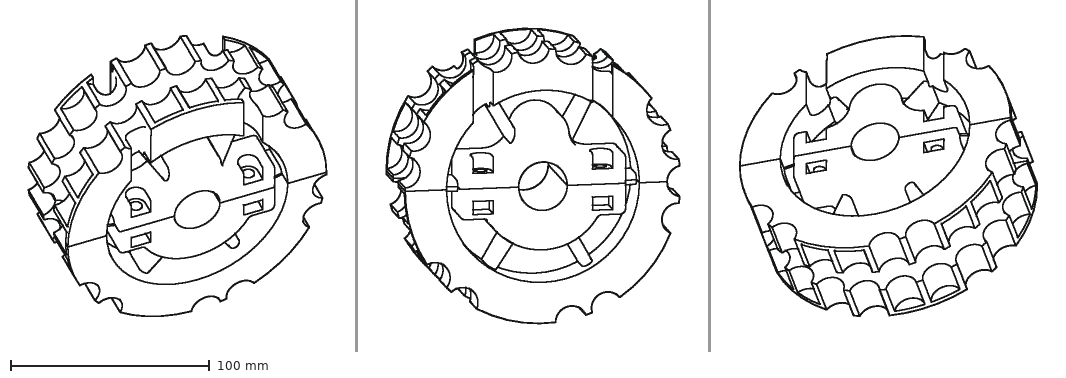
import cadquery as cq
import math


wheel_diameter = 141.0
wheel_radius = wheel_diameter / 2
wheel_width = 53.0
half_width = wheel_width / 2
rim_inner_radius = 49.4

groove_width = 13.7
groove_depth = 12.3
groove_corner_radius = 6.0

pocket_count = 23
pocket_radius = 8.0
pocket_center_radius = 71.6
pocket_wall = 2.7
walled_on_minus_x = (3, 4, 8, 9, 12, 13, 16, 17, 20, 21)

web_thickness = 5.9
rib_count = 6
rib_thickness = 5.8
rib_inner_radius = 21.2
rib_outer_radius = 52.2
rib_inner_width = 49.6
rib_outer_width = 35.5

bore_radius = 12.4
ear_half_span = 42.5
ear_half_height = 16.0
hub_belly_radius = 32.9
hub_lobe_radius = 13.5
hub_top = 39.6
hub_corner_radius = 2.8
hub_rim_fillet = 1.0

screw_y = 30.6
screw_inset = 6.8
screw_x = half_width - screw_inset
screw_hole_diameter = 6.2
access_width = 10.5
head_seat_z = 7.9
nut_top_z = -6.5
nut_seat_z = -13.3


def x_cylinder(radius, x_start, x_end, y=0.0, z=0.0):
    """Cylinder along X between two X positions."""
    return cq.Workplane("YZ", origin=(x_start, y, z)).circle(radius).extrude(x_end - x_start)


def make_rim():
    """Plain ring that carries the groove and the pockets."""
    ring = x_cylinder(wheel_radius, -half_width, half_width)
    return ring.cut(x_cylinder(rim_inner_radius, -half_width, half_width))


def make_web():
    """Disc in the middle of the width that joins the rim to the hub."""
    return x_cylinder(rim_inner_radius, -web_thickness / 2, web_thickness / 2)


def make_ribs():
    """Radial ribs, rounded on both edges, that grow wider from the rim towards the hub."""
    rib = (
        cq.Workplane("XY", origin=(0, 0, rib_inner_radius))
        .slot2D(rib_inner_width, rib_thickness)
        .workplane(offset=rib_outer_radius - rib_inner_radius)
        .slot2D(rib_outer_width, rib_thickness)
        .loft(ruled=True)
    )
    ribs = cq.Workplane("XY")
    for index in range(rib_count):
        angle = 360 / rib_count * (index + 0.5)
        ribs = ribs.add(rib.rotate((0, 0, 0), (1, 0, 0), angle))
    return ribs.combine()


def make_hub():
    """Hub with a screw ear on each side, a round lobe on top and a round belly below."""
    lobe_z = hub_top - hub_lobe_radius
    hollow_z = ear_half_height + hub_lobe_radius
    hollow_y = math.sqrt((2 * hub_lobe_radius) ** 2 - (hollow_z - lobe_z) ** 2)
    joint_y = hollow_y / 2
    joint_z = (lobe_z + hollow_z) / 2
    joint_angle = math.atan2(joint_z - hollow_z, joint_y - hollow_y) % (2 * math.pi)
    hollow_mid_angle = (joint_angle + 1.5 * math.pi) / 2
    hollow_mid_y = hollow_y + hub_lobe_radius * math.cos(hollow_mid_angle)
    hollow_mid_z = hollow_z + hub_lobe_radius * math.sin(hollow_mid_angle)
    belly_y = math.sqrt(hub_belly_radius**2 - ear_half_height**2)

    hub = (
        cq.Workplane("YZ", origin=(-half_width, 0, 0))
        .moveTo(-joint_y, joint_z)
        .threePointArc((0, hub_top), (joint_y, joint_z))
        .threePointArc((hollow_mid_y, hollow_mid_z), (hollow_y, ear_half_height))
        .lineTo(ear_half_span, ear_half_height)
        .lineTo(ear_half_span, -ear_half_height)
        .lineTo(belly_y, -ear_half_height)
        .threePointArc((0, -hub_belly_radius), (-belly_y, -ear_half_height))
        .lineTo(-ear_half_span, -ear_half_height)
        .lineTo(-ear_half_span, ear_half_height)
        .lineTo(-hollow_y, ear_half_height)
        .threePointArc((-hollow_mid_y, hollow_mid_z), (-joint_y, joint_z))
        .close()
        .extrude(wheel_width)
    )
    hub = hub.edges("|X and (<Y or >Y)").fillet(hub_corner_radius)
    belly_corners = cq.selectors.BoxSelector(
        (-half_width, -belly_y - hub_corner_radius / 2, -ear_half_height - hub_corner_radius / 2),
        (half_width, belly_y + hub_corner_radius / 2, -ear_half_height + hub_corner_radius / 2),
    )
    hub = hub.edges("|X").edges(belly_corners).fillet(hub_corner_radius)
    return hub.faces("<X or >X").edges().fillet(hub_rim_fillet)


def make_groove():
    """Ring-shaped cutter for the groove, with rounded bottom corners."""
    root_radius = wheel_radius - groove_depth
    ring = x_cylinder(wheel_radius + groove_depth, -groove_width / 2, groove_width / 2)
    ring = ring.cut(x_cylinder(root_radius, -groove_width / 2, groove_width / 2))
    inner_edges = cq.selectors.RadiusNthSelector(0)
    return ring.edges("%CIRCLE").edges(inner_edges).fillet(groove_corner_radius)


def make_pockets():
    """Cutters for all the pockets."""
    pockets = cq.Workplane("XY")
    for index in range(pocket_count):
        angle = 2 * math.pi * index / pocket_count
        x_start = -half_width
        x_end = half_width
        if index in walled_on_minus_x:
            x_start += pocket_wall
        else:
            x_end -= pocket_wall
        y = -pocket_center_radius * math.cos(angle)
        z = pocket_center_radius * math.sin(angle)
        pockets = pockets.add(x_cylinder(pocket_radius, x_start, x_end, y, z))
    return pockets.combine()


def head_access(side, y):
    """Cutter from the head seat upwards, open at one end face and rounded about the screw axis."""
    height = wheel_radius - head_seat_z
    shaft = (
        cq.Workplane("XY", origin=(side * screw_x, y, head_seat_z))
        .circle(access_width / 2)
        .extrude(height)
    )
    mouth = (
        cq.Workplane("XY", origin=(side * (half_width - screw_inset / 2), y, head_seat_z))
        .rect(screw_inset, access_width)
        .extrude(height)
    )
    return shaft.union(mouth)


def nut_pocket(side, y):
    """Rectangular cutter below the head seat, open at one end face."""
    depth = screw_inset + access_width / 2
    return (
        cq.Workplane("XY", origin=(side * (half_width - depth / 2), y, nut_seat_z))
        .rect(depth, access_width)
        .extrude(nut_top_z - nut_seat_z)
    )


def screw_hole(side, y):
    """Hole from the nut seat to the head seat."""
    return (
        cq.Workplane("XY", origin=(side * screw_x, y, nut_seat_z))
        .circle(screw_hole_diameter / 2)
        .extrude(head_seat_z - nut_seat_z)
    )


def make_wheel():
    """The complete pulley before it is split."""
    wheel = make_rim().union(make_web()).union(make_ribs()).union(make_hub())
    wheel = wheel.cut(x_cylinder(bore_radius, -half_width, half_width))
    wheel = wheel.cut(make_groove()).cut(make_pockets())
    for side in (-1, 1):
        for y in (-screw_y, screw_y):
            wheel = wheel.cut(head_access(side, y))
            wheel = wheel.cut(nut_pocket(side, y))
            wheel = wheel.cut(screw_hole(side, y))
    return wheel


def half_of(wheel, direction):
    """The part of the wheel above (+1) or below (-1) the plane Z = 0."""
    half_space = cq.Workplane("XY").rect(wheel_width, wheel_diameter).extrude(direction * wheel_radius)
    return wheel.intersect(half_space)


pulley = make_wheel()
upper_half = half_of(pulley, 1)
lower_half = half_of(pulley, -1)

result = cq.Compound.makeCompound([upper_half.val(), lower_half.val()])